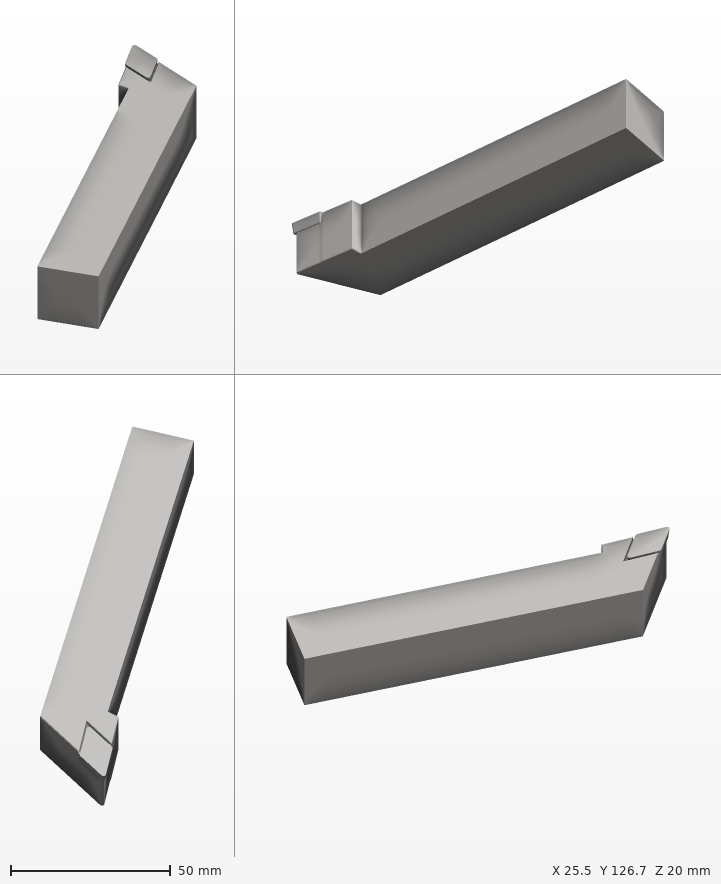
import cadquery as cq
import math

shank_width = 20.0
shank_height = 20.0
overall_length = 126.7
overall_width = 25.52

inscribed_diameter = 9.525
tip_angle = 55.0
insert_thickness = 3.97
clearance_angle = 7.0
corner_radius = 0.8
lead_angle = 3.0

screw_head_diameter = 6.0
screw_head_height = 1.6
screw_stem_diameter = 4.4

setback = 0.65
undercut_depth = 0.12
nose_back_below_tip = 1.25
nose_side_below_tip = 1.6
undercut_start_below_tip = 10.2
undercut_end_below_tip = 11.6
heel_below_tip = 22.5
heel_angle = 15.0
edge_chamfer = 0.25
chamfer_angle = 45.0

side_gap = 0.57
rear_gap = 0.63
gap_depth = 1.1
pocket_overrun = 5.0

left_normal = 180 + lead_angle
back_normal = left_normal - 180 + tip_angle
right_normal = left_normal - 180
rear_normal = back_normal + 180
nose_normal = (left_normal + back_normal) / 2

inscribed_radius = inscribed_diameter / 2
half_tip_angle = math.radians(tip_angle / 2)
tip_arc_distance = (inscribed_radius - corner_radius) / math.sin(half_tip_angle)
nose_direction = math.radians(nose_normal)
insert_x = shank_width - overall_width + corner_radius - tip_arc_distance * math.cos(nose_direction)
insert_y = overall_length - corner_radius - tip_arc_distance * math.sin(nose_direction)
seat_height = shank_height - insert_thickness


def crossing(normal_a, distance_a, normal_b, distance_b):
    """Point where two lines meet, each set by its normal and its distance from the insert centre."""
    a = math.radians(normal_a)
    b = math.radians(normal_b)
    turn = math.sin(b - a)
    x = (distance_a * math.sin(b) - distance_b * math.sin(a)) / turn
    y = (distance_b * math.cos(a) - distance_a * math.cos(b)) / turn
    return (insert_x + x, insert_y + y)


def crossing_at_y(normal, distance, y):
    """Point with the given Y on a line set by its normal and its distance from the insert centre."""
    return crossing(normal, distance, 90, y - insert_y)


def make_plate():
    """Tapered rhombic plate of the insert, without its screw hole."""
    corners = [
        crossing(left_normal, inscribed_radius, back_normal, inscribed_radius),
        crossing(back_normal, inscribed_radius, right_normal, inscribed_radius),
        crossing(right_normal, inscribed_radius, rear_normal, inscribed_radius),
        crossing(rear_normal, inscribed_radius, left_normal, inscribed_radius),
    ]
    outline = cq.Sketch().polygon(corners + corners[:1]).vertices().fillet(corner_radius)
    return (
        cq.Workplane("XY", origin=(0, 0, shank_height))
        .placeSketch(outline)
        .extrude(-insert_thickness, taper=clearance_angle)
    )


def make_insert():
    return make_plate().cut(make_screw())


def make_screw():
    stem = (
        cq.Workplane("XY", origin=(insert_x, insert_y, seat_height))
        .circle(screw_stem_diameter / 2)
        .extrude(insert_thickness)
    )
    head = (
        cq.Workplane("XY", origin=(insert_x, insert_y, shank_height))
        .circle(screw_head_diameter / 2)
        .extrude(-screw_head_height)
    )
    return stem.union(head)


def make_blank():
    """Shank and head before the pocket, chamfered round the top and below the left side of the head."""
    face_distance = inscribed_radius - setback
    undercut_distance = face_distance - undercut_depth
    heel_x, heel_y = crossing_at_y(left_normal, face_distance, overall_length - heel_below_tip)
    heel_foot_y = heel_y + heel_x * math.tan(math.radians(heel_angle))
    outline = [
        (0, 0),
        (shank_width, 0),
        crossing(back_normal, face_distance, 0, shank_width - insert_x),
        crossing_at_y(back_normal, face_distance, overall_length - nose_back_below_tip),
        crossing_at_y(left_normal, undercut_distance, overall_length - nose_side_below_tip),
        crossing_at_y(left_normal, undercut_distance, overall_length - undercut_start_below_tip),
        crossing_at_y(left_normal, face_distance, overall_length - undercut_end_below_tip),
        (heel_x, heel_y),
        (0, heel_foot_y),
    ]
    blank = cq.Workplane("XY").polyline(outline).close().extrude(shank_height)
    slanted_edges = "not(|X or |Y)"
    blank = blank.faces(">Z").edges(slanted_edges).chamfer(edge_chamfer)
    below_nose = cq.selectors.BoxSelector(
        (insert_x - overall_width, 0, 0),
        (0, overall_length - nose_side_below_tip, edge_chamfer),
    )
    return blank.faces("<Z").edges(slanted_edges).edges(below_nose).chamfer(edge_chamfer)


def make_pocket():
    """Seat matching the plate, with a chamfered gap along its two walls near the top."""
    right_wall = inscribed_radius + side_gap
    rear_wall = inscribed_radius + rear_gap
    open_side = inscribed_radius + pocket_overrun
    gap_outline = [
        crossing(right_normal, right_wall, rear_normal, rear_wall),
        crossing(rear_normal, rear_wall, left_normal, open_side),
        crossing(left_normal, open_side, back_normal, open_side),
        crossing(back_normal, open_side, right_normal, right_wall),
    ]
    gap = (
        cq.Workplane("XY", origin=(0, 0, shank_height - gap_depth))
        .polyline(gap_outline)
        .close()
        .extrude(gap_depth)
    )
    chamfered_mouth = (
        cq.Workplane("XY", origin=(0, 0, shank_height - edge_chamfer))
        .polyline(gap_outline)
        .close()
        .extrude(edge_chamfer, taper=-chamfer_angle)
    )
    return make_plate().union(gap).union(chamfered_mouth)


def make_holder():
    return make_blank().cut(make_pocket()).union(make_screw())


holder = make_holder()
insert = make_insert()
result = cq.Compound.makeCompound([holder.val(), insert.val()])